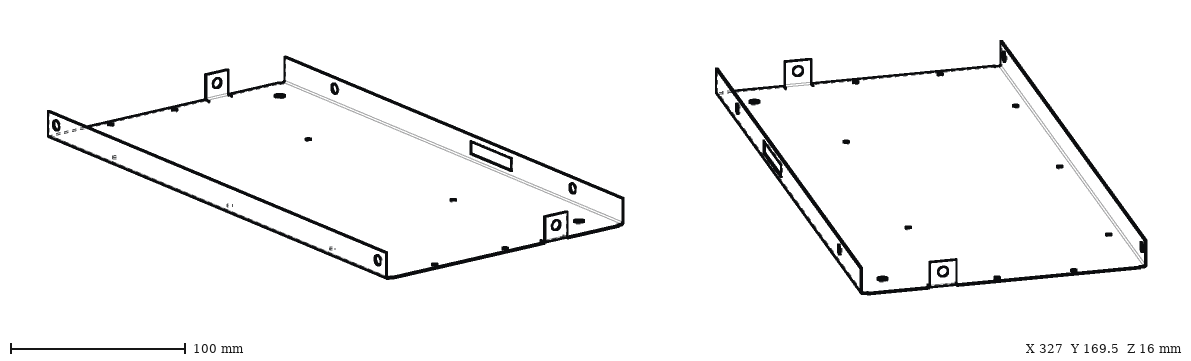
import cadquery as cq

length = 327.0
width = 169.5
height = 16.0
thickness = 1.0
inner_bend_radius = 1.0
outer_bend_radius = inner_bend_radius + thickness
corner_relief_width = 1.0
corner_relief_depth = 4.3

tab_width = 15.7
tab_center_y = 36.0
tab_slit_width = 0.5
tab_slit_length = 4.0

mount_diameter = 6.0
mount_center_z = 9.5
front_hole_x = 154.7
back_hole_x = 114.5
floor_mount_x = 144.0
floor_mount_y = 66.7
pilot_diameter = 3.15
pilot_centers = [
    (-69.7, 32.0),
    (69.7, 32.0),
    (-159.0, 3.0),
    (159.0, 3.0),
    (-159.0, -42.5),
    (159.0, -47.0),
    (-109.5, -76.2),
    (1.0, -76.2),
    (99.8, -76.2),
]

window_length = 39.3
window_height = 7.5
window_center_x = 36.0
window_bottom_z = 4.5

flange_length = length - 2 * corner_relief_width


def bent_flange(flange_width):
    """Upright flange with its bend, standing at y = 0 and joining the floor toward -y."""
    return (
        cq.Workplane("YZ")
        .moveTo(-outer_bend_radius, 0)
        .radiusArc((0, outer_bend_radius), -outer_bend_radius)
        .lineTo(0, height)
        .lineTo(-thickness, height)
        .lineTo(-thickness, outer_bend_radius)
        .radiusArc((-outer_bend_radius, thickness), inner_bend_radius)
        .close()
        .extrude(flange_width / 2, both=True)
    )


def floor_sheet():
    """Flat floor reaching the bend lines, wider between the corner reliefs."""
    narrow = cq.Workplane("XY").box(
        flange_length, width - 2 * outer_bend_radius, thickness, centered=(True, True, False)
    )
    wide = cq.Workplane("XY").box(
        length, width - 2 * corner_relief_depth, thickness, centered=(True, True, False)
    )
    return narrow.union(wide)


def add_end_tab(body, side):
    """Free a strip of the floor edge with two slits and turn it up into a tab."""
    edge_x = side * length / 2
    clearing_width = tab_width + 2 * tab_slit_width
    clearing = cq.Workplane("XY").box(2 * tab_slit_length, clearing_width, 2 * thickness)
    strip = cq.Workplane("XY").box(
        tab_slit_length - outer_bend_radius, tab_width, thickness, centered=(True, True, False)
    )
    strip_x = side * (length / 2 - (tab_slit_length + outer_bend_radius) / 2)
    tab = bent_flange(tab_width).rotate((0, 0, 0), (0, 0, 1), -90 * side)
    return (
        body.cut(clearing.translate((edge_x, tab_center_y, 0)))
        .union(strip.translate((strip_x, tab_center_y, 0)))
        .union(tab.translate((edge_x, tab_center_y, 0)))
    )


def floor_holes(centers, diameter):
    """Round cutters through the floor."""
    return cq.Workplane("XY").pushPoints(centers).circle(diameter / 2).extrude(thickness)


def wall_holes(plane, centers, depth):
    """Mounting-hole cutters reaching the given depth to both sides of a vertical plane."""
    return cq.Workplane(plane).pushPoints(centers).circle(mount_diameter / 2).extrude(depth, both=True)


back_flange = bent_flange(flange_length).translate((0, width / 2, 0))
front_flange = back_flange.mirror("XZ")
body = floor_sheet().union(back_flange).union(front_flange)
for side in (-1, 1):
    body = add_end_tab(body, side)

floor_mount_centers = [(-floor_mount_x, floor_mount_y), (floor_mount_x, floor_mount_y)]
body = body.cut(floor_holes(floor_mount_centers, mount_diameter))
body = body.cut(floor_holes(pilot_centers, pilot_diameter))

for wall_y, hole_x in ((-width / 2, front_hole_x), (width / 2, back_hole_x)):
    flange_hole_centers = [(-hole_x, mount_center_z), (hole_x, mount_center_z)]
    cutters = wall_holes("XZ", flange_hole_centers, outer_bend_radius)
    body = body.cut(cutters.translate((0, wall_y, 0)))
body = body.cut(wall_holes("YZ", [(tab_center_y, mount_center_z)], length))

window = cq.Workplane("XY").box(
    window_length, 2 * outer_bend_radius, window_height, centered=(True, True, False)
)
body = body.cut(window.translate((window_center_x, width / 2, window_bottom_z)))

result = body